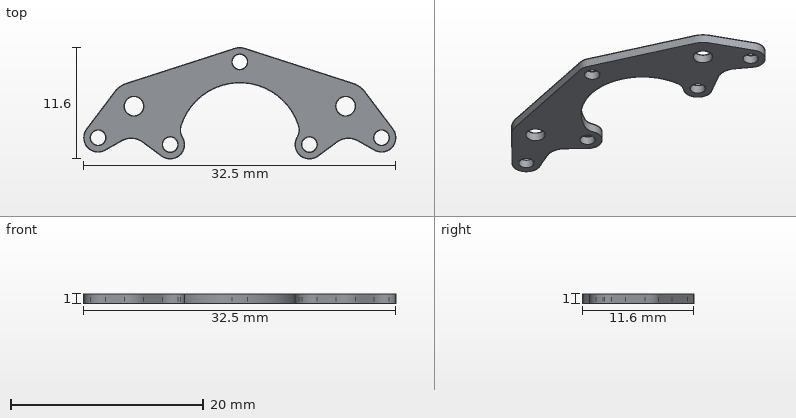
import cadquery as cq
import math

thickness = 1.0
length = 32.5
width = 11.6
small_hole = 1.6
large_hole = 2.0

lug_radius = 1.5
shoulder_radius = 2.5
valley_radius = 2.0
relief_radius = 1.5
bore_radius = 6.4

top = (0.0, width - 2 * lug_radius)
shoulder = (-11.02, 4.0)
ear = (lug_radius - length / 2, 0.7)
valley = (-11.3, -1.35)
foot = (-7.25, 0.0)
bore = (0.0, 0.03)


def offset(point, distance, angle):
    """Move a point by a distance in the given direction."""
    return (point[0] + distance * math.cos(angle), point[1] + distance * math.sin(angle))


def span(start, end):
    """Distance and direction from one point to another."""
    dx = end[0] - start[0]
    dy = end[1] - start[1]
    return math.hypot(dx, dy), math.atan2(dy, dx)


def relief_center():
    """Centre of the arc touching the bore from inside and the foot from outside."""
    to_bore = bore_radius - relief_radius
    to_foot = lug_radius + relief_radius
    base, direction = span(bore, foot)
    cosine = (to_bore**2 + base**2 - to_foot**2) / (2 * to_bore * base)
    return offset(bore, to_bore, direction - math.acos(cosine))


def tangent_angle(first, second):
    """Radial angle of the common tangent; positive radii turn counterclockwise."""
    distance, direction = span(first[0], second[0])
    ratio = (first[1] - second[1]) / distance
    return direction - math.acos(max(-1.0, min(1.0, ratio)))


def half_plate():
    """Left half, bounded by successive tangent arcs and the symmetry line."""
    arcs = [
        (top, lug_radius),
        (shoulder, shoulder_radius),
        (ear, lug_radius),
        (valley, -valley_radius),
        (foot, lug_radius),
        (relief_center(), -relief_radius),
        (bore, -bore_radius),
    ]
    joints = [tangent_angle(a, b) for a, b in zip(arcs, arcs[1:])]
    starts = [math.pi / 2] + joints
    ends = joints + [-math.pi / 2]

    profile = cq.Workplane("XY").moveTo(*offset(top, lug_radius, math.pi / 2))
    position = offset(top, lug_radius, math.pi / 2)
    for (center, radius), start, end in zip(arcs, starts, ends):
        turn = math.copysign(1, radius)
        sweep = turn * ((turn * (end - start)) % (2 * math.pi))
        arc_start = offset(center, radius, start)
        if span(position, arc_start)[0] > 3.25e-07:
            profile = profile.lineTo(*arc_start)
        position = offset(center, radius, start + sweep)
        profile = profile.threePointArc(offset(center, radius, start + sweep / 2), position)
    return profile.close().extrude(thickness)


def drill(plate, centers, diameter):
    """Cut through holes at the given centres."""
    return plate.cut(cq.Workplane("XY").pushPoints(centers).circle(diameter / 2).extrude(thickness))


def mirrored(point):
    """A point and its reflection across the symmetry line."""
    return [point, (-point[0], point[1])]


left = half_plate()
plate = left.union(left.mirror("YZ")).clean()
plate = drill(plate, [top] + mirrored(ear) + mirrored(foot), small_hole)
result = drill(plate, mirrored(shoulder), large_hole)